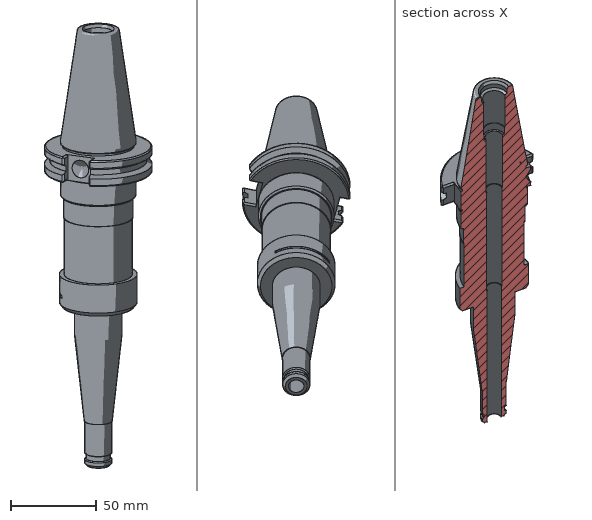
import cadquery as cq
import math

total_length = 267.5

taper_ratio = 7 / 24
taper_half_angle = math.atan(taper_ratio / 2)
gauge_diameter = 44.5
gauge_z = 199.3
taper_end_radius = 1.3

gauge_band_bottom_z = 197.6
undercut_depth = 1.0
undercut_height = 1.0
neck_diameter = gauge_diameter - 2 * undercut_depth

flange_diameter = 63.5
flange_top_z = 195.8
flange_thickness = 15.8
flange_bottom_z = flange_top_z - flange_thickness
flange_edge_chamfer = 0.8
groove_floor_diameter = 57.0
groove_floor_width = 3.2
groove_mouth_width = 6.7
groove_z = 188.0

body_diameter = gauge_diameter
body_bottom_z = 164.7
body_chamfer = 1.0
undercut_diameter = body_diameter - 2 * undercut_depth
shoulder_diameter = 41.0
shoulder_bottom_z = 152.2
barrel_diameter = 40.0

collar_diameter = 45.7
collar_top_z = 117.1
collar_bottom_z = 97.5
collar_chamfer_height = 2.5
collar_chamfer_width = 2.0
mark_length = 33.0
mark_height = 1.5
mark_depth = 0.13
mark_z = 105.5

nose_diameter = 28.0
cone_top_z = 80.5
cone_bottom_diameter = 16.5
cone_bottom_z = 27.3
tip_diameter = 16.0
tip_end_diameter = 12.8
tip_chamfer_height = 1.5
ring_groove_diameter = 14.2
ring_groove_bottom_z = 3.7
ring_groove_top_z = 7.8
ring_groove_bevel = 0.5

mouth_diameter = 18.7
mouth_chamfer_height = 2.0
counterbore_diameter = 16.5
counterbore_depth = 4.8
seat_depth = 6.0
bore_steps = [(13.6, 32.0), (13.0, 37.5), (10.7, 80.2), (10.0, 160.5)]
through_diameter = 9.0

slot_width = 16.0
slot_edge_chamfer = 1.0
front_slot_distance = 24.3
rear_slot_distance = 22.2
dimple_diameter = 10.7
dimple_point_angle = 118
dimple_depth = dimple_diameter / 2 / math.tan(math.radians(dimple_point_angle / 2))


def outer_profile():
    """Half outline of the turned outside, from the tip upward."""
    rounding_centre_z = total_length - taper_end_radius
    taper_radius_there = (gauge_diameter - taper_ratio * (rounding_centre_z - gauge_z)) / 2
    rounding_centre_r = taper_radius_there - taper_end_radius / math.cos(taper_half_angle)

    def rounding_point(angle):
        return (
            rounding_centre_r + taper_end_radius * math.cos(angle),
            rounding_centre_z + taper_end_radius * math.sin(angle),
        )

    rounding_start = rounding_point(taper_half_angle)
    rounding_middle = rounding_point((taper_half_angle + math.pi / 2) / 2)
    outline = [
        (0, 0),
        (tip_end_diameter / 2, 0),
        (tip_diameter / 2, tip_chamfer_height),
        (tip_diameter / 2, ring_groove_bottom_z),
        (ring_groove_diameter / 2, ring_groove_bottom_z + ring_groove_bevel),
        (ring_groove_diameter / 2, ring_groove_top_z - ring_groove_bevel),
        (tip_diameter / 2, ring_groove_top_z),
        (tip_diameter / 2, cone_bottom_z),
        (cone_bottom_diameter / 2, cone_bottom_z),
        (nose_diameter / 2, cone_top_z),
        (nose_diameter / 2, collar_bottom_z),
        (collar_diameter / 2 - collar_chamfer_width, collar_bottom_z),
        (collar_diameter / 2, collar_bottom_z + collar_chamfer_height),
        (collar_diameter / 2, collar_top_z),
        (barrel_diameter / 2, collar_top_z),
        (barrel_diameter / 2, shoulder_bottom_z),
        (shoulder_diameter / 2, shoulder_bottom_z),
        (shoulder_diameter / 2, body_bottom_z),
        (body_diameter / 2 - body_chamfer, body_bottom_z),
        (body_diameter / 2, body_bottom_z + body_chamfer),
        (body_diameter / 2, flange_bottom_z - undercut_height),
        (undercut_diameter / 2, flange_bottom_z),
        (flange_diameter / 2 - flange_edge_chamfer, flange_bottom_z),
        (flange_diameter / 2, flange_bottom_z + flange_edge_chamfer),
        (flange_diameter / 2, groove_z - groove_mouth_width / 2),
        (groove_floor_diameter / 2, groove_z - groove_floor_width / 2),
        (groove_floor_diameter / 2, groove_z + groove_floor_width / 2),
        (flange_diameter / 2, groove_z + groove_mouth_width / 2),
        (flange_diameter / 2, flange_top_z - flange_edge_chamfer),
        (flange_diameter / 2 - flange_edge_chamfer, flange_top_z),
        (neck_diameter / 2, flange_top_z),
        (neck_diameter / 2, flange_top_z + undercut_height),
        (gauge_diameter / 2, gauge_band_bottom_z),
        (gauge_diameter / 2, gauge_z),
        rounding_start,
    ]
    return (
        cq.Workplane("XZ")
        .polyline(outline)
        .threePointArc(rounding_middle, (rounding_centre_r, total_length))
        .lineTo(0, total_length)
        .close()
    )


def bore_profile():
    """Half outline of the axial bore, from the tip upward."""
    outline = [(0, 0), (through_diameter / 2, 0)]
    radius_below = through_diameter / 2
    for diameter, depth in reversed(bore_steps):
        step_z = total_length - depth
        outline += [(radius_below, step_z), (diameter / 2, step_z)]
        radius_below = diameter / 2
    outline += [
        (radius_below, total_length - seat_depth),
        (counterbore_diameter / 2, total_length - counterbore_depth),
        (counterbore_diameter / 2, total_length - mouth_chamfer_height),
        (mouth_diameter / 2, total_length),
        (0, total_length),
    ]
    return cq.Workplane("XZ").polyline(outline).close()


def turned(profile):
    """Solid of revolution about Z of a closed half outline."""
    return profile.revolve(360, (0, 0), (0, 1))


def drive_slot(floor_distance, side):
    """Cutter for one drive slot with chamfered wall edges; side is +1 for +Y, -1 for -Y."""
    half_width = slot_width / 2
    half_mouth = half_width + slot_edge_chamfer
    outer_y = flange_diameter / 2
    rim_y = math.sqrt(outer_y**2 - half_mouth**2)
    outline = [
        (-half_width, side * floor_distance),
        (half_width, side * floor_distance),
        (half_width, side * (rim_y - slot_edge_chamfer)),
        (half_mouth, side * rim_y),
        (half_mouth, side * outer_y),
        (-half_mouth, side * outer_y),
        (-half_mouth, side * rim_y),
        (-half_width, side * (rim_y - slot_edge_chamfer)),
    ]
    passage = (
        cq.Workplane("XY")
        .workplane(offset=flange_bottom_z)
        .polyline(outline)
        .close()
        .extrude(flange_thickness)
    )
    flared_outline = [
        (-half_mouth, flange_bottom_z),
        (half_mouth, flange_bottom_z),
        (half_width, flange_bottom_z + slot_edge_chamfer),
        (half_width, flange_top_z - slot_edge_chamfer),
        (half_mouth, flange_top_z),
        (-half_mouth, flange_top_z),
        (-half_width, flange_top_z - slot_edge_chamfer),
        (-half_width, flange_bottom_z + slot_edge_chamfer),
    ]
    flare = (
        cq.Workplane("XZ", origin=(0, side * floor_distance, 0))
        .polyline(flared_outline)
        .close()
        .extrude(-side * (outer_y - floor_distance))
    )
    return passage.union(flare)


def slot_dimple():
    """Conical dimple in the floor of the -Y drive slot."""
    cone = cq.Solid.makeCone(
        dimple_diameter / 2,
        0,
        dimple_depth,
        pnt=cq.Vector(0, -front_slot_distance, groove_z),
        dir=cq.Vector(0, 1, 0),
    )
    return cq.Workplane(obj=cone)


def collar_mark():
    """Shallow arc groove on the -X side of the collar."""
    collar_radius = collar_diameter / 2
    ring = (
        cq.Workplane("XY")
        .workplane(offset=mark_z - mark_height / 2)
        .circle(collar_radius)
        .circle(collar_radius - mark_depth)
        .extrude(mark_height)
    )
    window = cq.Workplane("XY").box(collar_radius, mark_length, mark_height)
    return ring.intersect(window.translate((-collar_radius, 0, mark_z)))


result = turned(outer_profile()).cut(turned(bore_profile()))
result = result.cut(drive_slot(front_slot_distance, -1))
result = result.cut(drive_slot(rear_slot_distance, 1))
result = result.cut(slot_dimple())
result = result.cut(collar_mark())